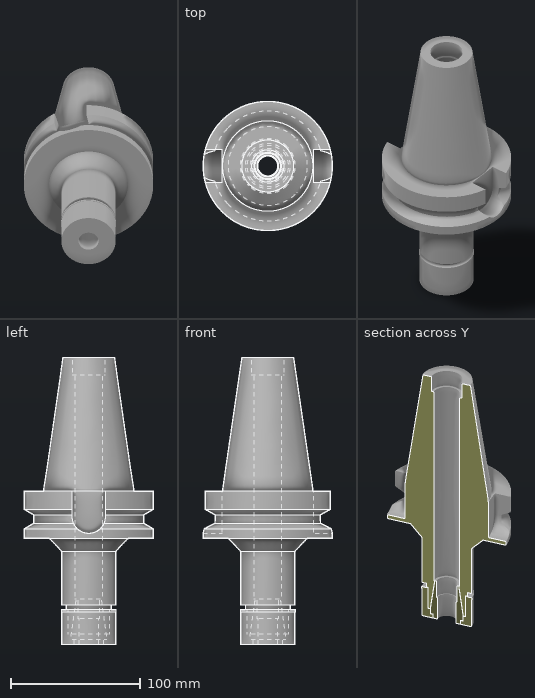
import cadquery as cq
import math


taper_length = 101.8
gauge_radius = 69.85 / 2
taper_ratio = 7 / 24
taper_top_radius = gauge_radius - taper_length * taper_ratio / 2

flange_top_z = -1.5
flange_bottom_z = -38.0
flange_radius = 50.0
groove_radius = 42.6
groove_middle_z = -23.1
groove_floor_width = 6.4
groove_side_angle = 30.0
groove_side_height = (flange_radius - groove_radius) * math.tan(math.radians(groove_side_angle))
groove_floor_top_z = groove_middle_z + groove_floor_width / 2
groove_floor_bottom_z = groove_middle_z - groove_floor_width / 2

slot_width = 25.7
slot_floor_x = 35.3
slot_bottom_z = -34.1

cone_height = 10.0
cone_top_radius = 30.5
shank_radius = 21.0
shank_bottom_z = -89.5
neck_radius = 17.4

nut_radius = shank_radius
nut_top_z = -93.0
nut_bottom_z = -120.0
nut_rim_height = 1.9
nut_rim_radius = nut_radius + 0.25
nut_lip_thickness = 4.0

nose_radius = 16.0
nose_bottom_z = -112.0

collet_angle = 8.0
collet_top_radius = 9.8
collet_top_z = -85.0
collet_bore_radius = 8.5
collet_grip_radius = 7.7
collet_grip_length = 20.0
collet_taper_length = collet_top_z - nose_bottom_z
collet_large_radius = collet_top_radius + collet_taper_length * math.tan(math.radians(collet_angle))
collet_front_radius = 11.5

pull_stud_radius = 12.5
pull_stud_depth = 13.4
bore_radius = 10.5


def turned(profile):
    """Solid of revolution about Z from (radius, z) points."""
    return cq.Workplane("XZ").polyline(profile).close().revolve(360, (0, 0), (0, 1))


def drill(radius, top_z, bottom_z):
    """Cylinder about Z between two heights."""
    return cq.Workplane("XY").workplane(offset=bottom_z).circle(radius).extrude(top_z - bottom_z)


def make_drive_slot(side):
    """Round-bottomed slot open to the top and rim of the flange, on side +1 or -1 of X."""
    end_radius = slot_width / 2
    end_z = slot_bottom_z + end_radius
    radial_depth = flange_radius - slot_floor_x
    return (
        cq.Workplane("YZ", origin=(side * slot_floor_x, 0, 0))
        .moveTo(-end_radius, 0)
        .lineTo(-end_radius, end_z)
        .threePointArc((0, slot_bottom_z), (end_radius, end_z))
        .lineTo(end_radius, 0)
        .close()
        .extrude(side * radial_depth)
    )


def make_holder():
    body = turned([
        (0, taper_length),
        (taper_top_radius, taper_length),
        (gauge_radius, 0),
        (gauge_radius, flange_top_z),
        (flange_radius, flange_top_z),
        (flange_radius, groove_floor_top_z + groove_side_height),
        (groove_radius, groove_floor_top_z),
        (groove_radius, groove_floor_bottom_z),
        (flange_radius, groove_floor_bottom_z - groove_side_height),
        (flange_radius, flange_bottom_z),
        (cone_top_radius, flange_bottom_z),
        (shank_radius, flange_bottom_z - cone_height),
        (shank_radius, shank_bottom_z),
        (neck_radius, shank_bottom_z),
        (neck_radius, nut_top_z),
        (nose_radius, nut_top_z),
        (nose_radius, nose_bottom_z),
        (0, nose_bottom_z),
    ])
    collet_seat = turned([
        (0, collet_top_z),
        (collet_top_radius, collet_top_z),
        (collet_large_radius, nose_bottom_z),
        (0, nose_bottom_z),
    ])
    body = body.cut(drill(pull_stud_radius, taper_length, taper_length - pull_stud_depth))
    body = body.cut(drill(bore_radius, taper_length, collet_top_z))
    body = body.cut(collet_seat)
    for side in (1, -1):
        body = body.cut(make_drive_slot(side))
    return body


def make_nut():
    rim_bottom_z = nut_top_z - nut_rim_height
    return turned([
        (nose_radius, nut_top_z),
        (nut_rim_radius, nut_top_z),
        (nut_rim_radius, rim_bottom_z),
        (nut_radius, rim_bottom_z),
        (nut_radius, nut_bottom_z),
        (collet_front_radius, nut_bottom_z),
        (collet_front_radius, nut_bottom_z + nut_lip_thickness),
        (collet_large_radius, nut_bottom_z + nut_lip_thickness),
        (collet_large_radius, nose_bottom_z),
        (nose_radius, nose_bottom_z),
    ])


def make_collet():
    grip_top_z = nut_bottom_z + collet_grip_length
    return turned([
        (collet_bore_radius, collet_top_z),
        (collet_top_radius, collet_top_z),
        (collet_large_radius, nose_bottom_z),
        (collet_large_radius, nut_bottom_z + nut_lip_thickness),
        (collet_front_radius, nut_bottom_z + nut_lip_thickness),
        (collet_front_radius, nut_bottom_z),
        (collet_grip_radius, nut_bottom_z),
        (collet_grip_radius, grip_top_z),
        (collet_bore_radius, grip_top_z),
    ])


holder = make_holder()
nut = make_nut()
collet = make_collet()

result = cq.Compound.makeCompound([holder.val(), nut.val(), collet.val()])